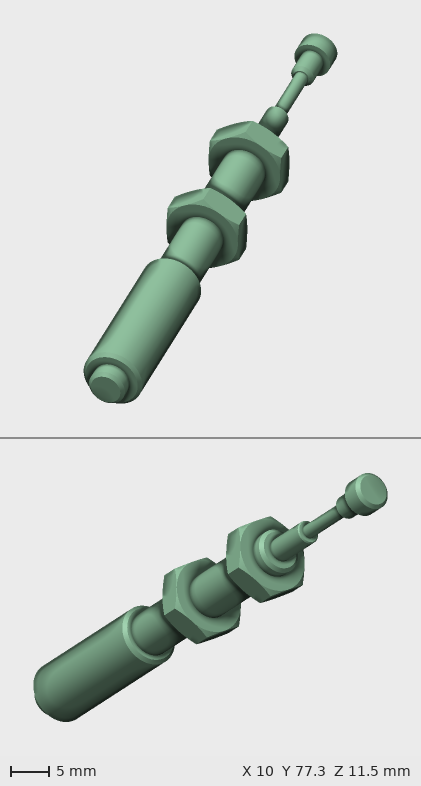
import cadquery as cq
import math

total_length = 77.3
head_end = 3.0
collar_end = 6.95
rod_end = 15.5
sleeve_end = 22.2
barrel_end = 53.0
body_end = 75.15
nut_starts = (24.05, 39.2)

head_diameter = 5.0
collar_diameter = 3.2
rod_diameter = 1.85
sleeve_diameter = collar_diameter
barrel_diameter = 6.0
body_diameter = 8.2
button_diameter = head_diameter

nut_across_flats = 10.0
nut_across_corners = nut_across_flats / math.cos(math.pi / 6)
nut_thickness = 3.4
nut_chamfer_angle = math.radians(30)

edge_chamfer = 0.5
sleeve_chamfer = 0.15

tip_y = total_length / 2


def cylinder(start, end, diameter):
    """Cylinder on the Y axis between two distances from the plunger tip."""
    plane = cq.Plane(origin=(0, tip_y - end, 0), xDir=(1, 0, 0), normal=(0, 1, 0))
    return cq.Workplane(plane).circle(diameter / 2).extrude(end - start)


def hex_nut(start):
    """Hexagon nut with corners along Z, its corners turned off by a cone at both ends."""
    end = start + nut_thickness
    plane = cq.Plane(origin=(0, tip_y - end, 0), xDir=(0, 0, 1), normal=(0, 1, 0))
    hexagon = cq.Workplane(plane).polygon(6, nut_across_corners).extrude(nut_thickness)
    corner_height = (nut_across_corners - nut_across_flats) / 2
    corner_setback = corner_height * math.tan(nut_chamfer_angle)
    half_profile = [
        (0, tip_y - end),
        (nut_across_flats / 2, tip_y - end),
        (nut_across_corners / 2, tip_y - end + corner_setback),
        (nut_across_corners / 2, tip_y - start - corner_setback),
        (nut_across_flats / 2, tip_y - start),
        (0, tip_y - start),
    ]
    turned_blank = cq.Workplane("XY").polyline(half_profile).close().revolve(360, (0, 0), (0, 1))
    return hexagon.intersect(turned_blank)


head = cylinder(0, head_end, head_diameter).faces(">Y").chamfer(edge_chamfer)
collar = cylinder(head_end, collar_end, collar_diameter).faces("<Y").chamfer(edge_chamfer)
rod = cylinder(collar_end, rod_end, rod_diameter)
sleeve = cylinder(rod_end, sleeve_end, sleeve_diameter).faces(">Y").chamfer(sleeve_chamfer)

barrel = cylinder(sleeve_end, barrel_end, barrel_diameter).faces(">Y").chamfer(edge_chamfer)
body = cylinder(barrel_end, body_end, body_diameter).edges().chamfer(edge_chamfer)
button = cylinder(body_end, total_length, button_diameter).faces("<Y").chamfer(edge_chamfer)

result = head
for section in (collar, rod, sleeve, barrel, body, button):
    result = result.union(section)
for nut_start in nut_starts:
    result = result.union(hex_nut(nut_start))